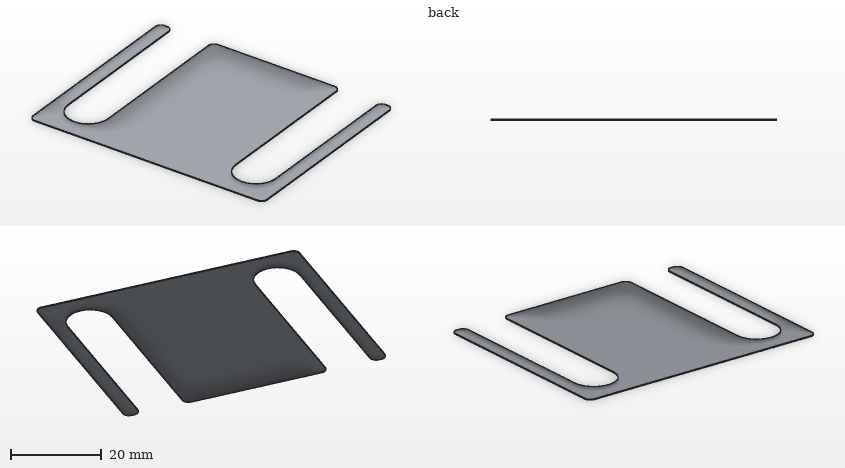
import cadquery as cq

plate_width = 63.0
plate_depth = 50.0
thickness = 0.25
corner_radius = 1.5

prong_width = 3.6
slot_width = 10.7
base_depth = 4.6

slot_radius = slot_width / 2
slot_center_x = plate_width / 2 - prong_width - slot_radius
back_y = plate_depth / 2
slot_round_y = -plate_depth / 2 + base_depth + slot_radius


def slot_cutter(center_x):
    """Straight slot from the +Y edge down to a full round end."""
    left_x = center_x - slot_radius
    right_x = center_x + slot_radius
    return (
        cq.Workplane("XY")
        .moveTo(left_x, back_y)
        .lineTo(left_x, slot_round_y)
        .threePointArc((center_x, slot_round_y - slot_radius), (right_x, slot_round_y))
        .lineTo(right_x, back_y)
        .close()
        .extrude(thickness)
    )


plate = cq.Workplane("XY").rect(plate_width, plate_depth).extrude(thickness)
for side in (-1, 1):
    plate = plate.cut(slot_cutter(side * slot_center_x))

front_corners = plate.edges("|Z").edges("<Y")
back_corners = plate.edges("|Z").edges(">Y")
result = plate.newObject(front_corners.vals() + back_corners.vals()).fillet(corner_radius)